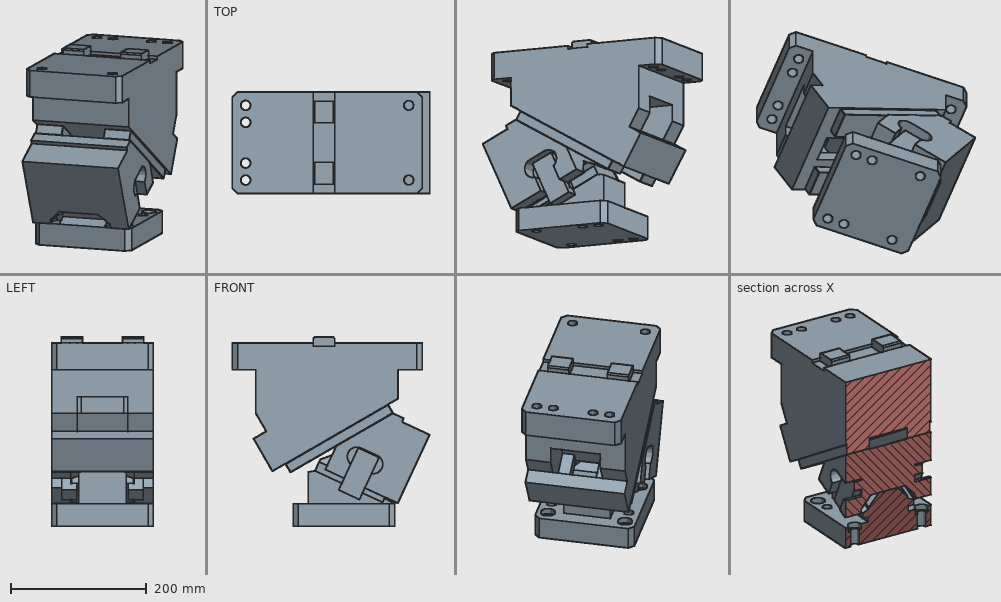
import cadquery as cq
import math

WIDTH = 150.0
HALF_WIDTH = WIDTH / 2
CORNER_CHAMFER = 8.0
HOLE_DIAMETER = 14.0
EPS = 3.0

TOP_PLATE_LENGTH = 280.0
TOP_PLATE_THICKNESS = 40.0
TOP_Z = 270.5
TOP_PLATE_BOTTOM = TOP_Z - TOP_PLATE_THICKNESS
BLOCK_LEFT = 34.5
BLOCK_RIGHT = 244.5
TOP_HOLE_INSET = 19.8
OUTER_HOLE_Y = 55.0
INNER_HOLE_Y = 30.0

KEY_WIDTH = 32.0
KEY_LEFT = 119.0
KEY_DEPTH = 4.7
KEY_RISE = 8.7
KEY_Y = 45.0
KEY_CHAMFER = 2.3

CAM_ANGLE = 30
CAM_X = 59.0
CAM_Z = 81.2
LIP_HEIGHT = 55.5
LIP_DEPTH = 21.5

WEAR_START = 22.0
WEAR_END = 197.0
WEAR_THICKNESS = 14.8
WEAR_INNER_Y = 32.5
WEAR_OUTER_Y = 73.3
WEAR_CHAMFER = 0.5

WINDOW_HALF_WIDTH = 37.5
WINDOW_TOP = 191.0
WINDOW_FLOOR = 18.0
WINDOW_STEP = 53.5
RAMP_HALF_WIDTH = 31.0
RAMP_ANGLE = 35
DROP_HALF_WIDTH = 19.8

SLIDE_ANGLE = 25
SLIDER_HEIGHT = 111.5
SLIDER_LENGTH = 118.0
SLIDER_TIP_X = 291.0
SLIDER_CORNER_Z = 34.0
TOP_STEP_FROM_TIP = 44.8
TOP_STEP = 5.8

CLIP_RIGHT = -53.5
CLIP_WIDTH = 33.8
CLIP_BOTTOM = -19.0
CLIP_TOP = 49.5
CLIP_OUTER_Y = 60.2
HOOK_INNER_Y = 38.0
EAR_RADIUS = 14.0
EAR_SPACING = 26.8
EAR_TOP = 51.0

BASE_LEFT = 89.5
BASE_LENGTH = 150.0
BASE_THICKNESS = 33.5
STEM_LEFT = 111.8
STEM_HALF_WIDTH = 35.2
STEM_TOP = 80.3
RAIL_BOTTOM = -8.1
RAIL_SIDE_TOP = 6.5
RAIL_TOP = 23.3
RAIL_HALF_WIDTH = 34.3
RAIL_LEFT = -131.0
RAIL_RIGHT = -21.0
RAIL_NOSE_HEIGHT = 10.5
RAIL_NOSE_LENGTH = 12.8
FLANGE_HALF_WIDTH = 45.0
FLANGE_SIDE_TOP = 0.0
FLANGE_INNER_TOP = 3.8
CHANNEL_HALF_WIDTH = 46.9
STEM_GAP = 1.0
COUNTERBORE_DIAMETER = 21.0
COUNTERBORE_DEPTH = 8.7
BASE_HOLE_Y = 58.2
BASE_BOLT_X = (19.5, 120.8)
BASE_DOWEL_X = 44.8

CAM_TAN = math.tan(math.radians(CAM_ANGLE))
CAM_SIN = math.sin(math.radians(CAM_ANGLE))
CAM_COS = math.cos(math.radians(CAM_ANGLE))
SLIDE_SIN = math.sin(math.radians(SLIDE_ANGLE))
SLIDE_COS = math.cos(math.radians(SLIDE_ANGLE))
SLIDER_CORNER_X = SLIDER_TIP_X - SLIDER_HEIGHT * SLIDE_SIN

TOWARD_FRONT = (0, -1, 0)
LEVEL = cq.Plane((0, 0, 0), (1, 0, 0), TOWARD_FRONT)
CAM = cq.Plane((CAM_X, 0, CAM_Z), (CAM_COS, 0, CAM_SIN), TOWARD_FRONT)
GUIDE = cq.Plane((SLIDER_CORNER_X, 0, SLIDER_CORNER_Z), (SLIDE_COS, 0, -SLIDE_SIN), TOWARD_FRONT)


def prism(plane, points, half_width):
    """Extrude a side profile to both sides of the middle plane Y = 0."""
    return cq.Workplane(plane).polyline(points).close().extrude(half_width, both=True)


def box_points(left, bottom, right, top):
    return [(left, bottom), (right, bottom), (right, top), (left, top)]


def both_sides(plane, points, inner, outer):
    """Extrude a side profile into a mirrored pair lying between two Y distances."""
    return prism(plane, points, outer).cut(prism(plane, points, inner))


def mounting_plate(left, bottom, length, thickness):
    plate = cq.Workplane("XY").box(length, WIDTH, thickness, centered=(False, True, False))
    return plate.edges("|Z").chamfer(CORNER_CHAMFER).translate((left, 0, bottom))


def cam_point(along, height):
    """Position in X and Z of a point given in the sliding-face frame."""
    return CAM.toWorldCoords((along, height)).toTuple()[::2]


def guide_point(along, height):
    """Position in X and Z of a point given in the guide frame."""
    return GUIDE.toWorldCoords((along, height)).toTuple()[::2]


def on_wear_face(start, direction):
    """Where a line in X and Z meets the underside of the wear strips."""
    x0, z0 = cam_point(0, -WEAR_THICKNESS)
    x, z = start
    dx, dz = direction
    distance = (z0 + (x - x0) * CAM_TAN - z) / (dz - dx * CAM_TAN)
    return x + distance * dx, z + distance * dz


def wear_strips():
    strip_width = WEAR_OUTER_Y - WEAR_INNER_Y
    strip = (
        cq.Workplane(CAM)
        .polyline(box_points(WEAR_START, -WEAR_THICKNESS, WEAR_END, 0))
        .close()
        .extrude(strip_width)
        .edges()
        .chamfer(WEAR_CHAMFER)
        .translate((0, -WEAR_INNER_Y, 0))
    )
    return strip.union(strip.mirror("XZ"))


def window_profile(upper_floor_angle):
    """Side profile of the window: a deep floor, a step, and a sloped upper floor."""
    lip_x, lip_z = cam_point(LIP_DEPTH, LIP_HEIGHT)
    step_end = LIP_DEPTH + WINDOW_STEP
    ledge_x, ledge_z = cam_point(step_end, LIP_HEIGHT)
    upper_floor_run = (WINDOW_TOP - ledge_z) / math.tan(math.radians(upper_floor_angle))
    return [
        (BLOCK_LEFT - EPS, WINDOW_TOP),
        (BLOCK_LEFT - EPS, lip_z),
        (lip_x, lip_z),
        cam_point(LIP_DEPTH, WINDOW_FLOOR),
        cam_point(step_end, WINDOW_FLOOR),
        (ledge_x, ledge_z),
        (ledge_x + upper_floor_run, WINDOW_TOP),
    ]


def window():
    """Pocket entering above the lip, open in the middle down to the sliding face."""
    sides = both_sides(LEVEL, window_profile(CAM_ANGLE), RAMP_HALF_WIDTH, WINDOW_HALF_WIDTH)
    middle = prism(LEVEL, window_profile(RAMP_ANGLE), RAMP_HALF_WIDTH)
    drop_points = box_points(LIP_DEPTH, -EPS, LIP_DEPTH + WINDOW_STEP, LIP_HEIGHT)
    return sides.union(middle).union(prism(CAM, drop_points, DROP_HALF_WIDTH))


def upper_block():
    shoulder_x, shoulder_z = cam_point(LIP_DEPTH, LIP_HEIGHT)
    profile = [
        (BLOCK_LEFT, TOP_PLATE_BOTTOM),
        (BLOCK_LEFT, shoulder_z + (shoulder_x - BLOCK_LEFT) / CAM_TAN),
        (shoulder_x, shoulder_z),
        cam_point(0, LIP_HEIGHT),
        (CAM_X, CAM_Z),
        (BLOCK_RIGHT, CAM_Z + (BLOCK_RIGHT - CAM_X) * CAM_TAN),
        (BLOCK_RIGHT, TOP_PLATE_BOTTOM),
    ]
    return prism(LEVEL, profile, HALF_WIDTH).cut(window())


def top_holes():
    left = TOP_HOLE_INSET
    right = TOP_PLATE_LENGTH - TOP_HOLE_INSET
    places = [(x, side * OUTER_HOLE_Y) for x in (left, right) for side in (-1, 1)]
    places += [(left, side * INNER_HOLE_Y) for side in (-1, 1)]
    floor = cq.Workplane("XY", origin=(0, 0, TOP_PLATE_BOTTOM))
    return floor.pushPoints(places).circle(HOLE_DIAMETER / 2).extrude(TOP_PLATE_THICKNESS)


def keys():
    key = (
        cq.Workplane("XY")
        .box(KEY_WIDTH, KEY_WIDTH, KEY_DEPTH + KEY_RISE, centered=(False, True, False))
        .edges("|Y and >Z")
        .chamfer(KEY_CHAMFER)
        .translate((KEY_LEFT, KEY_Y, TOP_Z - KEY_DEPTH))
    )
    return key.union(key.mirror("XZ"))


def make_upper():
    plate = mounting_plate(0, TOP_PLATE_BOTTOM, TOP_PLATE_LENGTH, TOP_PLATE_THICKNESS)
    groove = box_points(KEY_LEFT, TOP_Z - KEY_DEPTH, KEY_LEFT + KEY_WIDTH, TOP_Z + EPS)
    body = plate.union(upper_block()).cut(prism(LEVEL, groove, HALF_WIDTH + EPS))
    return body.cut(top_holes()).union(keys()).union(wear_strips())


def guide_section(left, right, half_width, bottom):
    """Length of guide rail with straight sides and a roof chamfered at 45 degrees."""
    rail = prism(GUIDE, box_points(left, bottom, right, RAIL_TOP), half_width)
    lengthwise = cq.selectors.ParallelDirSelector(GUIDE.xDir)
    return rail.edges(lengthwise).edges(">Z").chamfer(RAIL_TOP - RAIL_SIDE_TOP)


def slider_block():
    up = (SLIDE_SIN, SLIDE_COS)
    back = (-SLIDE_COS, SLIDE_SIN)
    left_bottom = guide_point(-SLIDER_LENGTH, 0)
    step_top = guide_point(-TOP_STEP_FROM_TIP, SLIDER_HEIGHT + TOP_STEP)
    profile = [
        (SLIDER_CORNER_X, SLIDER_CORNER_Z),
        guide_point(0, SLIDER_HEIGHT),
        guide_point(-TOP_STEP_FROM_TIP, SLIDER_HEIGHT),
        step_top,
        on_wear_face(step_top, back),
        on_wear_face(left_bottom, up),
        left_bottom,
    ]
    return prism(LEVEL, profile, HALF_WIDTH)


def clip_slots():
    """Recesses in both flanks: a slot open at the bottom, crossed by an obround at its top."""
    middle = CLIP_RIGHT - CLIP_WIDTH / 2
    depth = HALF_WIDTH - CHANNEL_HALF_WIDTH
    straight = both_sides(
        GUIDE,
        box_points(CLIP_RIGHT - CLIP_WIDTH, -EPS, CLIP_RIGHT, EAR_TOP - EAR_RADIUS),
        CHANNEL_HALF_WIDTH,
        HALF_WIDTH + EPS,
    )
    obround = (
        cq.Workplane(GUIDE)
        .center(middle, EAR_TOP - EAR_RADIUS)
        .slot2D(EAR_SPACING + 2 * EAR_RADIUS, 2 * EAR_RADIUS)
        .extrude(depth + EPS)
        .translate((0, -CHANNEL_HALF_WIDTH, 0))
    )
    return straight.union(obround).union(obround.mirror("XZ"))


def clips():
    """Retaining clips filling the slots, each hooked under a guide flange."""
    left = CLIP_RIGHT - CLIP_WIDTH
    arm = both_sides(
        GUIDE, box_points(left, CLIP_BOTTOM, CLIP_RIGHT, CLIP_TOP), CHANNEL_HALF_WIDTH, CLIP_OUTER_Y
    )
    hook = both_sides(
        GUIDE, box_points(left, CLIP_BOTTOM, CLIP_RIGHT, RAIL_BOTTOM), HOOK_INNER_Y, CLIP_OUTER_Y
    )
    return arm.union(hook)


def make_slider():
    channel = guide_section(-SLIDER_LENGTH - EPS, EPS, CHANNEL_HALF_WIDTH, RAIL_BOTTOM)
    return slider_block().cut(channel).cut(clip_slots()).union(clips())


def stem():
    profile = [
        (STEM_LEFT, BASE_THICKNESS),
        (STEM_LEFT, STEM_TOP),
        guide_point(RAIL_LEFT, RAIL_BOTTOM),
        guide_point(RAIL_RIGHT, RAIL_BOTTOM),
        guide_point(RAIL_RIGHT, -STEM_GAP),
        (BASE_LEFT + BASE_LENGTH, BASE_THICKNESS),
    ]
    return prism(LEVEL, profile, STEM_HALF_WIDTH)


def guide_rail():
    """Narrow rail with a sloped nose."""
    nose = [
        (RAIL_LEFT, RAIL_NOSE_HEIGHT),
        (RAIL_LEFT + RAIL_NOSE_LENGTH, RAIL_TOP),
        (RAIL_LEFT, RAIL_TOP),
    ]
    rail = guide_section(RAIL_LEFT, RAIL_RIGHT, RAIL_HALF_WIDTH, RAIL_BOTTOM)
    return rail.cut(prism(GUIDE, nose, RAIL_HALF_WIDTH))


def flanges():
    """Flanges on both sides of the rail, held by the clip hooks."""
    left = CLIP_RIGHT - CLIP_WIDTH
    section = [
        (-FLANGE_HALF_WIDTH, RAIL_BOTTOM),
        (-FLANGE_HALF_WIDTH, FLANGE_SIDE_TOP),
        (-STEM_HALF_WIDTH, FLANGE_INNER_TOP),
        (STEM_HALF_WIDTH, FLANGE_INNER_TOP),
        (FLANGE_HALF_WIDTH, FLANGE_SIDE_TOP),
        (FLANGE_HALF_WIDTH, RAIL_BOTTOM),
    ]
    end = cq.Plane(GUIDE.toWorldCoords((left, 0)), (0, 1, 0), GUIDE.xDir)
    return cq.Workplane(end).polyline(section).close().extrude(RAIL_RIGHT - left)


def make_base():
    plate = mounting_plate(BASE_LEFT, 0, BASE_LENGTH, BASE_THICKNESS)
    bolts = [(BASE_LEFT + x, side * BASE_HOLE_Y) for x in BASE_BOLT_X for side in (-1, 1)]
    dowels = [(BASE_LEFT + BASE_DOWEL_X, side * BASE_HOLE_Y) for side in (-1, 1)]
    top = cq.Workplane("XY", origin=(0, 0, BASE_THICKNESS))
    holes = top.pushPoints(bolts + dowels).circle(HOLE_DIAMETER / 2).extrude(-BASE_THICKNESS)
    seats = top.pushPoints(bolts).circle(COUNTERBORE_DIAMETER / 2).extrude(-COUNTERBORE_DEPTH)
    drilled = plate.cut(holes).cut(seats)
    return drilled.union(stem()).union(guide_rail()).union(flanges())


upper = make_upper()
slider = make_slider()
base = make_base()

result = cq.Compound.makeCompound([body.solids().val() for body in (upper, slider, base)])